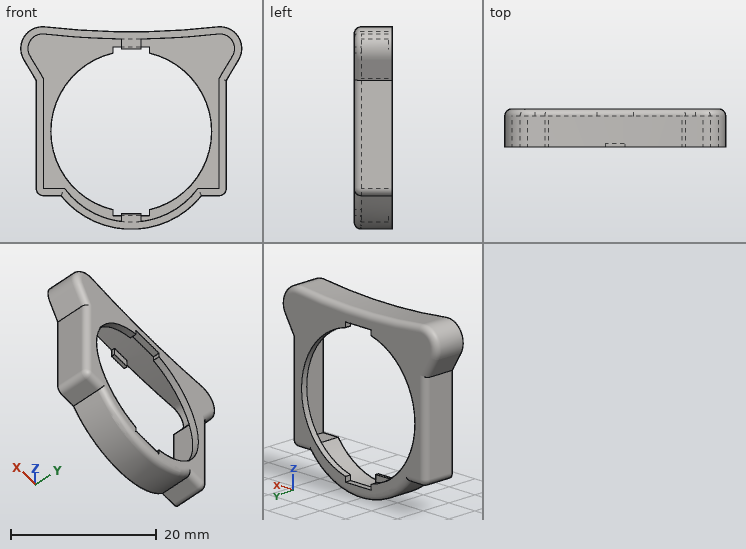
import cadquery as cq
import math

depth = 5.25
wall = 1.0
floor = wall
edge_radius = 1.0
corner_radius = 1.0

half_width = 15.15
side_x = 13.03
waist_z = 6.97
ledge_z = -8.82
bottom_z = -13.42
chin_radius = 12.35
top_z = 14.35
brow_z = 13.67
ear_radius = 3.0
ear_x = half_width - ear_radius
ear_z = top_z - ear_radius

opening_radius = 11.0
notch_width = 4.97
notch_reach = 11.55
tab_width = 2.73
tab_reach = 11.27
tab_thickness = 0.5


def ear_point(angle):
    """Point on the right ear's arc at an angle from +X."""
    return (ear_x + ear_radius * math.cos(angle), ear_z + ear_radius * math.sin(angle))


def mirrored(point):
    return (-point[0], point[1])


brow_drop = brow_z - ear_z
brow_radius = (ear_x**2 + brow_drop**2 - ear_radius**2) / (2 * (ear_radius - brow_drop))
brow_angle = math.atan2(brow_drop + brow_radius, -ear_x)
ear_top = ear_point(brow_angle)

waist_dx = side_x - ear_x
waist_dz = waist_z - ear_z
waist_distance = math.hypot(waist_dx, waist_dz)
flare_angle = math.atan2(waist_dz, waist_dx) + math.acos(ear_radius / waist_distance)
ear_bottom = ear_point(flare_angle)
ear_middle = ear_point((brow_angle + flare_angle) / 2)

chin_center_z = bottom_z + chin_radius
chin_x = math.sqrt(chin_radius**2 - (ledge_z - chin_center_z) ** 2)


def front_plane():
    """XZ sketch plane whose negative extrusion runs toward +Y."""
    return cq.Workplane(cq.Plane(origin=(0, 0, 0), xDir=(1, 0, 0), normal=(0, -1, 0)))


def outline():
    return (
        front_plane()
        .moveTo(-chin_x, ledge_z)
        .threePointArc((0, bottom_z), (chin_x, ledge_z))
        .lineTo(side_x, ledge_z)
        .lineTo(side_x, waist_z)
        .lineTo(*ear_bottom)
        .threePointArc(ear_middle, ear_top)
        .threePointArc((0, brow_z), mirrored(ear_top))
        .threePointArc(mirrored(ear_middle), mirrored(ear_bottom))
        .lineTo(-side_x, waist_z)
        .lineTo(-side_x, ledge_z)
        .close()
    )


def outer_body():
    body = outline().extrude(-depth)
    for corner_x in (-side_x, side_x):
        corner = cq.selectors.NearestToPointSelector((corner_x, depth / 2, ledge_z))
        body = body.edges(corner).fillet(corner_radius)
    return body.faces(">Y").edges().fillet(edge_radius)


def cavity():
    """Inside of the wall, with sharp corners, open at the front."""
    return outline().offset2D(-wall, "intersection").extrude(floor - depth)


def opening():
    """Round hole through the floor with a notch at top and bottom."""
    hole = front_plane().circle(opening_radius).extrude(-depth)
    notches = front_plane().rect(notch_width, 2 * notch_reach).extrude(-depth)
    return hole.union(notches)


def tabs():
    """Thin plates at the front, reaching inward from the top and bottom walls."""
    inner_ends = ((tab_reach, brow_z), (-tab_reach, bottom_z))
    plates = cq.Workplane()
    for inner_z, outer_z in inner_ends:
        root_z = outer_z - math.copysign(wall / 2, outer_z)
        plate = (
            front_plane()
            .center(0, (inner_z + root_z) / 2)
            .rect(tab_width, abs(root_z - inner_z))
            .extrude(-tab_thickness)
        )
        plates = plates.add(plate)
    return plates.combine()


result = outer_body().cut(cavity()).cut(opening()).union(tabs())